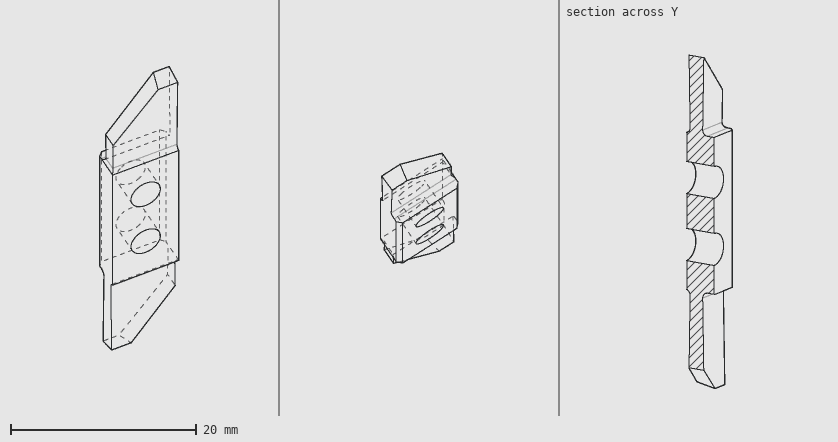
import math

import cadquery as cq

body_thickness = 3.6
width = 8.0
body_length = 17.6
body_chamfer = 0.5

hole_diameter = 3.55
hole_spacing = 7.5

overall_length = 40.0
tip_low_x = -0.5
tip_high_x = 1.55
taper_angle = 1.0
tip_bevel_angle = 15.0
tip_width = 1.92
ramp_angle = 50.0
side_setback = 0.25
root_radius = 0.6

body_low_x = -body_thickness / 2
body_high_x = body_thickness / 2
half_width = width / 2
body_top = body_length / 2
blade_top = overall_length / 2
taper = math.tan(math.radians(taper_angle))
tip_drop = (tip_high_x - tip_low_x) * math.tan(math.radians(tip_bevel_angle))


def root_height(step):
    """Height of a root arc, upright where it meets the blade, that spreads by the given step."""
    return math.sqrt(root_radius**2 - (root_radius - step) ** 2)


def root_middle(blade_edge, outward, step):
    """Point halfway along a root arc; outward is +1 or -1, pointing away from the blade."""
    half_sweep = math.acos(1 - step / root_radius) / 2
    offset = outward * root_radius * (1 - math.cos(half_sweep))
    rise = root_height(step) - root_radius * math.sin(half_sweep)
    return (blade_edge + offset, body_top + rise)


def make_body():
    """Bar with the two long edges of its -X face chamfered."""
    bar = cq.Workplane("XY").box(body_thickness, width, body_length)
    return bar.faces("<X").edges("|Z").chamfer(body_chamfer)


def blade_thickness_profile():
    """Blade seen along Y: widens towards a bevelled tip and flares out at its root."""
    low_root_x = tip_low_x + taper * (blade_top - body_top - root_radius)
    high_tip_z = blade_top - tip_drop
    high_root_x = tip_high_x - taper * (high_tip_z - body_top - root_radius)
    high_step = body_high_x - high_root_x
    return (
        cq.Workplane("XZ")
        .moveTo(low_root_x - root_radius, body_top)
        .threePointArc(
            root_middle(low_root_x, -1, root_radius),
            (low_root_x, body_top + root_radius),
        )
        .lineTo(tip_low_x, blade_top)
        .lineTo(tip_high_x, high_tip_z)
        .lineTo(high_root_x, body_top + root_height(high_step))
        .threePointArc(root_middle(high_root_x, 1, high_step), (body_high_x, body_top))
        .lineTo(body_high_x, 0)
        .lineTo(low_root_x - root_radius, 0)
        .close()
        .extrude(half_width, both=True)
    )


def blade_width_profile():
    """Blade seen along X: straight +Y edge, sloped ramp and set-back -Y edge with a root arc."""
    side_y = -half_width + side_setback
    ramp_start_y = half_width - tip_width
    ramp_bottom = blade_top - (ramp_start_y - side_y) * math.tan(math.radians(ramp_angle))
    return (
        cq.Workplane("YZ")
        .moveTo(half_width, 0)
        .lineTo(half_width, blade_top)
        .lineTo(ramp_start_y, blade_top)
        .lineTo(side_y, ramp_bottom)
        .lineTo(side_y, body_top + root_height(side_setback))
        .threePointArc(root_middle(side_y, -1, side_setback), (-half_width, body_top))
        .lineTo(-half_width, 0)
        .close()
        .extrude(body_thickness, both=True)
    )


def make_blade():
    """Upper blade, with a shank that reaches down to the middle of the body."""
    return blade_thickness_profile().intersect(blade_width_profile())


def make_holes():
    """Cylinders for the two through holes, side by side along Z."""
    return (
        cq.Workplane("YZ", origin=(body_low_x, 0, 0))
        .pushPoints([(0, -hole_spacing / 2), (0, hole_spacing / 2)])
        .circle(hole_diameter / 2)
        .extrude(body_thickness)
    )


upper_blade = make_blade()
lower_blade = upper_blade.rotate((0, 0, 0), (1, 0, 0), 180)
result = make_body().union(upper_blade).union(lower_blade).cut(make_holes()).clean()